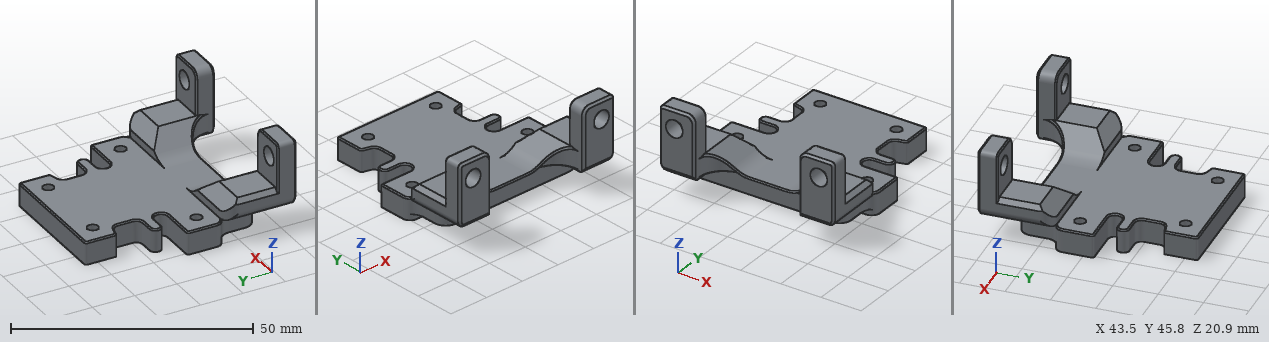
import cadquery as cq
import math


total_width = 43.5
total_length = 45.75
total_height = 20.9
half_width = total_width / 2

plate_top = 5.4
plate_front = 16.4
rear_half_width = 14.25
rear_side_end = 38.35
rear_taper_angle = 15.0
neck_half_width = 10.9
tab_half_width = 16.65
tab_thickness = 2.7
tab_center_y = 29.85
wing_half_width = 20.75
wing_corner_radius = 2.0
notch_radius = 1.6
rear_corner_radius = 0.55
top_edge_chamfer = 0.3
bevel_angle = 45.0

mount_hole_diameter = 2.5
rear_hole_x = 9.45
rear_hole_y = 41.35
wing_hole_x = 16.15
wing_hole_y = 20.6

recess_height = 1.4
recess_outer_half_width = 15.7
recess_outer_convex_radius = 3.9
recess_outer_concave_radius = 3.35
recess_outer_sweep = 35.0
recess_middle_half_width = 7.4
recess_middle_concave_radius = 1.88
recess_inner_half_width = 3.7
recess_convex_radius = 1.0
recess_inner_concave_radius = 0.35
recess_inner_depth = 1.5

slab_front = 7.75
slab_half_width = 18.85
slab_corner_radius = 2.97

arm_top = 10.4
arm_rear = 16.55
arm_rear_chamfer = 3.1
arm_rear_corner_radius = 3.1
arm_side_chamfer = 1.05
arm_bottom_fillet = 2.0

valley_floor_corner_x = 6.85
valley_radius = 5.95

upright_inner_x = 12.95
upright_depth = 4.55
upright_outer_radius = 1.05
upright_inner_radius = 2.05
upright_hole_diameter = 4.2
upright_hole_x = 18.0
upright_hole_z = 16.42
upright_front_chamfer = 0.55
upright_rear_chamfer = 0.3
toe_chamfer_height = 1.0
toe_chamfer_depth = 0.82
gap_corner_radius = 5.95

selection_margin = 0.05


def both_sides(right_half):
    return right_half.union(right_half.mirror("YZ"))


def fillet_corners(body, corners, radius):
    """Round the vertical edges that pass through the given XY corners."""
    for x, y in corners:
        corner_box = cq.selectors.BoxSelector(
            (x - selection_margin, y - selection_margin, -total_height),
            (x + selection_margin, y + selection_margin, total_height),
        )
        body = body.edges("|Z").edges(corner_box).fillet(radius)
    return body


def disc(x, y, radius):
    return cq.Workplane("XY").center(x, y).circle(radius).extrude(plate_top)


def make_plate():
    tab_rear = tab_center_y + tab_thickness / 2
    tab_front = tab_center_y - tab_thickness / 2
    taper_drop = (rear_half_width - neck_half_width) * math.tan(math.radians(rear_taper_angle))
    rear_corner = (rear_half_width, total_length)
    taper_start = (rear_half_width, rear_side_end)
    neck_rear = (neck_half_width, rear_side_end - taper_drop)
    neck_front = (neck_half_width, tab_rear)
    notch_x = neck_half_width + notch_radius
    notch_y = tab_front - notch_radius
    tab_center_x = tab_half_width - tab_thickness / 2
    wing_rear = (wing_half_width, notch_y - notch_radius)
    wing_front = (wing_half_width, plate_front)
    half_outline = [
        (0, total_length),
        rear_corner,
        taper_start,
        neck_rear,
        neck_front,
        (tab_center_x, tab_rear),
        (tab_center_x, tab_front),
        (notch_x, tab_front),
        (notch_x, wing_rear[1]),
        wing_rear,
        wing_front,
        (0, plate_front),
    ]
    half = cq.Workplane("XY").polyline(half_outline).close().extrude(plate_top)
    half = fillet_corners(half, [neck_rear, neck_front], notch_radius)
    half = fillet_corners(half, [rear_corner, taper_start, wing_rear], rear_corner_radius)
    half = fillet_corners(half, [wing_front], wing_corner_radius)
    tab_end = disc(tab_center_x, tab_center_y, tab_thickness / 2)
    notch_end = disc(notch_x, notch_y, notch_radius)
    plate = both_sides(half.union(tab_end).cut(notch_end)).clean()
    return plate.faces(">Z").edges().chamfer(top_edge_chamfer)


def arc_run_and_rise(angle):
    """Distances along and off the start tangent of a unit arc after turning by an angle in degrees."""
    return math.sin(math.radians(angle)), 1 - math.cos(math.radians(angle))


def make_recess():
    convex, concave = recess_outer_convex_radius, recess_outer_concave_radius
    end_run, end_rise = arc_run_and_rise(recess_outer_sweep)
    middle_run, middle_rise = arc_run_and_rise(recess_outer_sweep / 2)
    start = (recess_outer_half_width, plate_front)
    convex_middle = (start[0] - convex * middle_run, start[1] + convex * middle_rise)
    bend = (start[0] - convex * end_run, start[1] + convex * end_rise)
    shelf = (bend[0] - concave * end_run, bend[1] + concave * end_rise)
    concave_middle = (shelf[0] + concave * middle_run, shelf[1] - concave * middle_rise)

    middle_wall_x = recess_middle_half_width - recess_convex_radius
    middle_bend_y = shelf[1] + recess_convex_radius
    middle_floor_x = middle_wall_x - recess_middle_concave_radius
    middle_floor_y = middle_bend_y + recess_middle_concave_radius
    inner_wall_x = recess_inner_half_width - recess_convex_radius
    inner_floor_x = inner_wall_x - recess_inner_concave_radius
    inner_floor_y = middle_floor_y + recess_inner_depth

    half = (
        cq.Workplane("XY")
        .moveTo(0, plate_front)
        .lineTo(*start)
        .threePointArc(convex_middle, bend)
        .threePointArc(concave_middle, shelf)
        .lineTo(recess_middle_half_width, shelf[1])
        .radiusArc((middle_wall_x, middle_bend_y), recess_convex_radius)
        .radiusArc((middle_floor_x, middle_floor_y), -recess_middle_concave_radius)
        .lineTo(recess_inner_half_width, middle_floor_y)
        .radiusArc((inner_wall_x, middle_floor_y + recess_convex_radius), recess_convex_radius)
        .lineTo(inner_wall_x, inner_floor_y - recess_inner_concave_radius)
        .radiusArc((inner_floor_x, inner_floor_y), -recess_inner_concave_radius)
        .lineTo(0, inner_floor_y)
        .close()
        .extrude(recess_height)
    )
    return both_sides(half)


def make_slab():
    wing_center_x = wing_half_width - wing_corner_radius
    wing_center_y = plate_front + wing_corner_radius
    flare_center_x = slab_half_width + slab_corner_radius
    center_distance = slab_corner_radius + wing_corner_radius
    center_dx = flare_center_x - wing_center_x
    center_dy = math.sqrt(center_distance**2 - center_dx**2)
    flare_start_y = wing_center_y - center_dy
    flare_end_x = wing_center_x + wing_corner_radius * center_dx / center_distance
    flare_end_y = wing_center_y - wing_corner_radius * center_dy / center_distance
    half = (
        cq.Workplane("XY")
        .workplane(offset=recess_height)
        .moveTo(0, slab_front)
        .lineTo(slab_half_width - slab_corner_radius, slab_front)
        .radiusArc((slab_half_width, slab_front + slab_corner_radius), -slab_corner_radius)
        .lineTo(slab_half_width, flare_start_y)
        .radiusArc((flare_end_x, flare_end_y), slab_corner_radius)
        .lineTo(0, flare_end_y)
        .close()
        .extrude(plate_top - recess_height)
    )
    return both_sides(half)


def make_arms():
    """Both arms with their uprights; each is an L seen from the side."""
    side_profile = [
        (0, plate_top),
        (arm_rear, plate_top),
        (arm_rear, arm_top - arm_rear_chamfer),
        (arm_rear - arm_rear_chamfer, arm_top),
        (upright_depth, arm_top),
        (upright_depth, total_height),
        (0, total_height),
    ]
    arms = cq.Workplane("YZ").polyline(side_profile).close().extrude(half_width, both=True)

    plan = (
        cq.Workplane("XY")
        .rect(total_width, 2 * arm_rear)
        .extrude(total_height)
        .edges("|Z and >Y")
        .fillet(arm_rear_corner_radius)
    )
    front_outline = (
        cq.Workplane("XZ", origin=(0, 0, (plate_top + total_height) / 2))
        .rect(total_width, total_height - plate_top)
        .extrude(-arm_rear)
        .edges("|Y and <Z")
        .fillet(arm_bottom_fillet)
        .edges("|Y and >Z")
        .fillet(upright_outer_radius)
    )
    return arms.intersect(plan).intersect(front_outline)


def make_side_bevel():
    """Bevel along the outer top edge of the right arm, behind the upright."""
    corner = [
        (half_width, arm_top),
        (half_width - arm_side_chamfer, arm_top),
        (half_width, arm_top - arm_side_chamfer),
    ]
    return (
        cq.Workplane("XZ", origin=(0, upright_depth, 0))
        .polyline(corner)
        .close()
        .extrude(upright_depth - arm_rear)
    )


def make_valley():
    """Smooth dip between the arms, down to the plate top."""
    right_outline = [
        (valley_floor_corner_x, plate_top),
        (upright_inner_x, arm_top),
        (upright_inner_x, total_height),
    ]
    left_outline = [(-x, z) for x, z in reversed(right_outline)]
    return (
        cq.Workplane("XZ")
        .polyline(left_outline + right_outline)
        .close()
        .extrude(-arm_rear)
        .edges("|Y and <Z")
        .fillet(valley_radius)
    )


def make_gap():
    """Opening between the uprights, in front of the slab."""
    return (
        cq.Workplane("XY")
        .rect(2 * upright_inner_x, 2 * slab_front)
        .extrude(total_height)
        .edges("|Z and >Y")
        .fillet(gap_corner_radius)
    )


def make_gap_bottom_bevel():
    """Flared lower edge of the gap; it stops at the slab front so that the slab stays whole."""
    flare_half_width = upright_inner_x + top_edge_chamfer
    flare_rear = slab_front + top_edge_chamfer
    flare_radius = gap_corner_radius + top_edge_chamfer
    flare = (
        cq.Workplane("XY", origin=(0, 0, plate_top))
        .sketch()
        .rect(2 * flare_half_width, 2 * flare_rear)
        .vertices()
        .fillet(flare_radius)
        .finalize()
        .extrude(top_edge_chamfer, taper=bevel_angle)
    )
    kept = (
        cq.Workplane("XY", origin=(0, slab_front - gap_corner_radius / 2, plate_top))
        .rect(2 * upright_inner_x, gap_corner_radius)
        .extrude(top_edge_chamfer)
    )
    return flare.intersect(kept)


def finish_uprights(arms):
    inner_tops = cq.selectors.BoxSelector(
        (-upright_inner_x - selection_margin, 0, total_height - selection_margin),
        (upright_inner_x + selection_margin, upright_depth, total_height + selection_margin),
    )
    rear_tops = cq.selectors.BoxSelector(
        (-half_width, upright_depth - selection_margin, total_height - selection_margin),
        (half_width, upright_depth + selection_margin, total_height + selection_margin),
    )
    arms = arms.edges("|Y").edges(inner_tops).fillet(upright_inner_radius)
    arms = arms.faces("<Y").edges().chamfer(upright_front_chamfer)
    return arms.edges("|X").edges(rear_tops).chamfer(upright_rear_chamfer)


def make_toe_bevel():
    corner = [
        (0, plate_top),
        (toe_chamfer_depth, plate_top),
        (0, plate_top + toe_chamfer_height),
    ]
    return cq.Workplane("YZ").polyline(corner).close().extrude(half_width, both=True)


def make_mount_holes():
    right_centers = [(rear_hole_x, rear_hole_y), (wing_hole_x, wing_hole_y)]
    left_centers = [(-x, y) for x, y in right_centers]
    return (
        cq.Workplane("XY")
        .pushPoints(right_centers + left_centers)
        .circle(mount_hole_diameter / 2)
        .extrude(plate_top)
    )


def make_upright_holes():
    return (
        cq.Workplane("XZ")
        .pushPoints([(-upright_hole_x, upright_hole_z), (upright_hole_x, upright_hole_z)])
        .circle(upright_hole_diameter / 2)
        .extrude(-upright_depth)
    )


def chamfer_front_edge(body):
    """Bevel the slab front edge; it runs on along the valley up to both uprights."""
    front_edge = cq.selectors.BoxSelector(
        (-valley_floor_corner_x, slab_front - selection_margin, plate_top - selection_margin),
        (valley_floor_corner_x, slab_front + selection_margin, plate_top + selection_margin),
    )
    return body.edges("|X").edges(front_edge).chamfer(top_edge_chamfer)


right_side_bevel = make_side_bevel()
arms = make_arms().cut(right_side_bevel).cut(right_side_bevel.mirror("YZ"))
arms = arms.cut(make_gap()).cut(make_valley())
arms = finish_uprights(arms)
arms = arms.cut(make_toe_bevel())

body = make_plate().cut(make_recess()).union(make_slab()).union(arms)
body = chamfer_front_edge(body)
body = body.cut(make_gap_bottom_bevel())
result = body.cut(make_mount_holes()).cut(make_upright_holes())